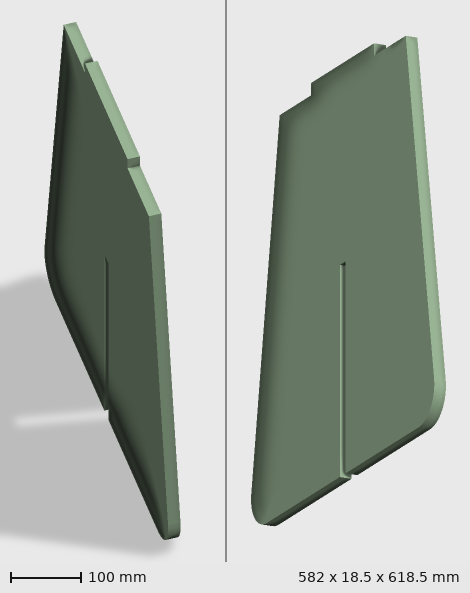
import cadquery as cq

height = 618.5
thickness = 18.5
top_width = 400.0
bottom_width = 600.0
tab_width = 200.0
slot_height = 318.5
corner_radius = 50.0

tab_height = thickness
slot_width = thickness
shoulder_height = height - tab_height


def make_panel():
    """Tapered upright panel with rounded lower corners."""
    outline = [
        (-bottom_width / 2, 0),
        (bottom_width / 2, 0),
        (top_width / 2, shoulder_height),
        (-top_width / 2, shoulder_height),
    ]
    panel = cq.Workplane("XZ").polyline(outline).close().extrude(thickness / 2, both=True)
    return panel.faces("<Z").edges("|Y").fillet(corner_radius)


def make_upright_block(width, bottom, top):
    """Block of sheet thickness, centred on the panel, between two heights."""
    block = cq.Workplane("XY").box(width, thickness, top - bottom, centered=(True, True, False))
    return block.translate((0, 0, bottom))


tab = make_upright_block(tab_width, shoulder_height, height)
slot = make_upright_block(slot_width, 0, slot_height)

result = make_panel().union(tab).cut(slot)